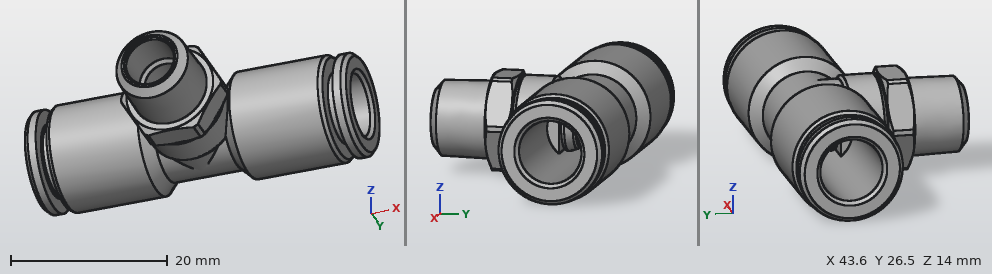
import cadquery as cq
import math

overall_length = 43.6
half_run = overall_length / 2
tube_bore_dia = 8.15
bore_mouth_dia = 9.15
ring_dia = 13.5
ring_width = 1.65
ring_bevel_length = 0.55
ring_bevel_depth = 0.52
collar_dia = 9.3
collar_flare_dia = 9.65
collar_flare_length = 0.2
socket_dia = 14.0
socket_end = 18.75
socket_bevel_length = 0.52
socket_bevel_depth = 0.4
waist_dia = 11.0
waist_half_length = 4.7
shoulder_length = 1.53

seat_y = -2.55

branch_dia = 11.8
branch_step_y = -3.55
branch_step = (branch_dia - waist_dia) / 2
branch_end_y = -8.5
branch_bevel = 0.5

hex_flats = 12.05
hex_corner_dia = 13.5
hex_face_dia = 11.77
hex_height = 3.5
hex_bevel = 0.45
hex_end_y = branch_end_y - hex_height

overall_depth = 26.5
male_end_y = socket_dia / 2 - overall_depth
male_root_dia = 10.03
male_small_dia = 9.72
male_nose_dia = 7.6
male_nose_length = 0.95

stem_bore_dia = 5.5
stem_mouth_dia = 6.5
stem_mouth_depth = 5.25
stem_mouth_bevel = 0.2

lip_tip_y = -0.75
lip_tip_dia = 6.1
lip_bevel_dia = 6.63
lip_bevel_length = 0.3
lip_dia = 7.32
lip_width = 1.35
lip_neck_dia = 6.95


def turned_x(points):
    """Solid of revolution about X from (x, radius) points."""
    return cq.Workplane("XY").polyline(points).close().revolve(360, (0, 0, 0), (1, 0, 0))


def turned_y(profile):
    """Solid of revolution about Y from (y, diameter) stations."""
    outline = [(0, profile[0][0])]
    outline += [(dia / 2, y) for y, dia in profile]
    outline += [(0, profile[-1][0])]
    return cq.Workplane("XY").polyline(outline).close().revolve(360, (0, 0, 0), (0, 1, 0))


def run_half():
    """Solid outer form of one half of the run, on the +X side."""
    socket_r = socket_dia / 2
    ring_r = ring_dia / 2
    ring_inner = half_run - ring_width
    return turned_x([
        (0, 0),
        (0, waist_dia / 2),
        (waist_half_length, waist_dia / 2),
        (waist_half_length + shoulder_length, socket_r),
        (socket_end - socket_bevel_length, socket_r),
        (socket_end, socket_r - socket_bevel_depth),
        (socket_end, collar_dia / 2),
        (ring_inner - collar_flare_length, collar_dia / 2),
        (ring_inner, collar_flare_dia / 2),
        (ring_inner, ring_r),
        (half_run - ring_bevel_length, ring_r),
        (half_run, ring_r - ring_bevel_depth),
        (half_run, 0),
    ])


def run_bore():
    """Through bore with bevelled mouths, interrupted by the flat seat in the waist."""
    mouth_bevel = (bore_mouth_dia - tube_bore_dia) / 2
    bore = turned_x([
        (-half_run, 0),
        (-half_run, bore_mouth_dia / 2),
        (mouth_bevel - half_run, tube_bore_dia / 2),
        (half_run - mouth_bevel, tube_bore_dia / 2),
        (half_run, bore_mouth_dia / 2),
        (half_run, 0),
    ])
    seat = cq.Workplane("XY").box(2 * waist_half_length, waist_dia, waist_dia)
    return bore.cut(seat.translate((0, seat_y - waist_dia / 2, 0)))


def branch():
    return turned_y([
        (0, waist_dia),
        (branch_step_y, waist_dia),
        (branch_step_y - branch_step, branch_dia),
        (branch_end_y + branch_bevel, branch_dia),
        (branch_end_y, branch_dia - 2 * branch_bevel),
    ])


def hexagon():
    """Hexagon with flats facing +Z and -Z, trimmed at the corners and bevelled at both ends."""
    sharp_corner_dia = hex_flats / math.cos(math.radians(30))
    prism = (
        cq.Workplane("XZ", origin=(0, branch_end_y, 0))
        .polygon(6, sharp_corner_dia)
        .extrude(hex_height)
    )
    envelope = turned_y([
        (branch_end_y, hex_face_dia),
        (branch_end_y - hex_bevel, hex_corner_dia),
        (hex_end_y + hex_bevel, hex_corner_dia),
        (hex_end_y, hex_face_dia),
    ])
    return prism.intersect(envelope)


def male_end():
    return turned_y([
        (hex_end_y, male_root_dia),
        (male_end_y + male_nose_length, male_small_dia),
        (male_end_y, male_nose_dia),
    ])


def stem_lip():
    """Flared lip of the stem, bevelled at its tip, that stands above the seat inside the run."""
    return turned_y([
        (lip_tip_y, lip_tip_dia),
        (lip_tip_y - lip_bevel_length, lip_bevel_dia),
        (lip_tip_y - lip_width, lip_dia),
        (seat_y, lip_neck_dia),
    ])


def stem_bore():
    """Passage from the run to the nose, widening through a cone to a bevelled mouth."""
    cone_start_y = male_end_y + stem_mouth_depth
    cone_length = (stem_mouth_dia - stem_bore_dia) / 2
    return turned_y([
        (lip_tip_y, stem_bore_dia),
        (cone_start_y + cone_length, stem_bore_dia),
        (cone_start_y, stem_mouth_dia),
        (male_end_y + stem_mouth_bevel, stem_mouth_dia),
        (male_end_y, stem_mouth_dia + 2 * stem_mouth_bevel),
    ])


run = run_half().union(run_half().mirror("YZ"))
tee = run.union(branch()).cut(run_bore())
stem = hexagon().union(male_end()).union(stem_lip())
result = tee.union(stem).cut(stem_bore())